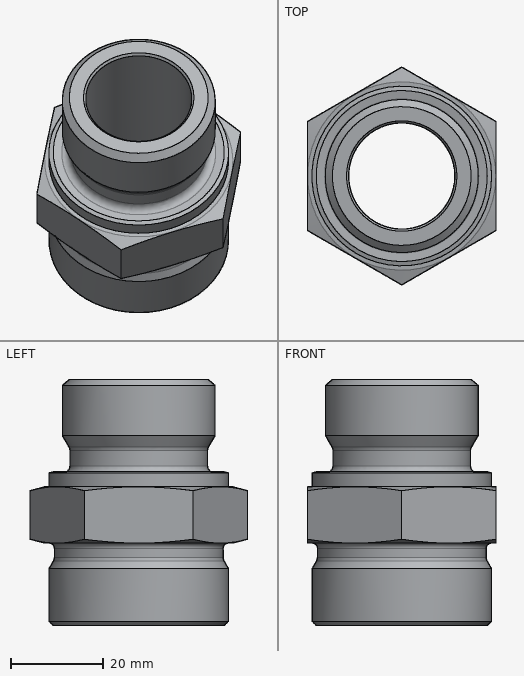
import cadquery as cq
import math

total_height = 53.5
bore_diameter = 23.0
bore_chamfer = 0.5

lower_diameter = 39.0
lower_end_chamfer = 0.95
lower_thread_top = 12.4
lower_groove_diameter = 36.7
lower_corner_fillet = 1.1

hex_bottom = 17.9
hex_top = 30.2
across_flats = 41.0
hex_chamfer_circle = 40.9
hex_chamfer_angle = 15.0
hex_corner_radius = across_flats / math.sqrt(3)

collar_diameter = lower_diameter
collar_top = 33.45
collar_rim_diameter = 37.15
collar_outer_slope = 15.0
collar_inner_slope = 8.0
collar_fillet = 1.55

upper_diameter = 33.2
upper_chamfer_width = 1.55
upper_chamfer_height = 1.35
upper_thread_bottom = 41.3
upper_groove_diameter = 29.9

groove_flank_angle = 30.0
groove_fillet = 1.5


def fillet_circle(body, radius, height, size):
    """Round the circular edge of the given radius that lies at the given height."""
    margin = 0.025
    edge = body.edges(
        cq.selectors.BoxSelector(
            (-radius, -radius, height - margin),
            (radius, radius, height + margin),
        )
    )
    return body.newObject([e for e in edge.vals() if abs(e.radius() - radius) < margin]).fillet(size)


def flank_height(outer_diameter, inner_diameter):
    """Axial length of a groove flank between two diameters."""
    return (outer_diameter - inner_diameter) / 2 / math.tan(math.radians(groove_flank_angle))


def make_lower_stud():
    radius = lower_diameter / 2
    groove_radius = lower_groove_diameter / 2
    flank_top = lower_thread_top + flank_height(lower_diameter, lower_groove_diameter)
    shoulder_radius = hex_chamfer_circle / 2
    body = (
        cq.Workplane("XZ")
        .moveTo(0, 0)
        .lineTo(radius - lower_end_chamfer, 0)
        .lineTo(radius, lower_end_chamfer)
        .lineTo(radius, lower_thread_top)
        .lineTo(groove_radius, flank_top)
        .lineTo(groove_radius, hex_bottom)
        .lineTo(shoulder_radius, hex_bottom)
        .lineTo(shoulder_radius, hex_top)
        .lineTo(0, hex_top)
        .close()
        .revolve(360, (0, 0, 0), (0, 1, 0))
    )
    body = fillet_circle(body, groove_radius, flank_top, groove_fillet)
    return fillet_circle(body, groove_radius, hex_bottom, lower_corner_fillet)


def make_upper_stud():
    radius = upper_diameter / 2
    groove_radius = upper_groove_diameter / 2
    flank_bottom = upper_thread_bottom - flank_height(upper_diameter, upper_groove_diameter)
    rim_radius = collar_rim_diameter / 2
    outer_slope = math.tan(math.radians(collar_outer_slope))
    inner_slope = math.tan(math.radians(collar_inner_slope))
    collar_edge = collar_top - (collar_diameter / 2 - rim_radius) * outer_slope
    dish_bottom = collar_top - (rim_radius - groove_radius) * inner_slope
    body = (
        cq.Workplane("XZ")
        .moveTo(0, hex_top)
        .lineTo(collar_diameter / 2, hex_top)
        .lineTo(collar_diameter / 2, collar_edge)
        .lineTo(rim_radius, collar_top)
        .lineTo(groove_radius, dish_bottom)
        .lineTo(groove_radius, flank_bottom)
        .lineTo(radius, upper_thread_bottom)
        .lineTo(radius, total_height - upper_chamfer_height)
        .lineTo(radius - upper_chamfer_width, total_height)
        .lineTo(0, total_height)
        .close()
        .revolve(360, (0, 0, 0), (0, 1, 0))
    )
    body = fillet_circle(body, groove_radius, flank_bottom, groove_fillet)
    return fillet_circle(body, groove_radius, dish_bottom, collar_fillet)


def make_hexagon():
    """Hexagonal prism whose corners are trimmed by a shallow cone at both ends."""
    prism = (
        cq.Workplane("XY")
        .workplane(offset=hex_bottom)
        .polygon(6, 2 * hex_corner_radius)
        .extrude(hex_top - hex_bottom)
        .rotate((0, 0, 0), (0, 0, 1), 30)
    )
    face_radius = hex_chamfer_circle / 2
    corner_drop = (hex_corner_radius - face_radius) * math.tan(math.radians(hex_chamfer_angle))
    envelope = (
        cq.Workplane("XZ")
        .moveTo(0, hex_bottom)
        .lineTo(face_radius, hex_bottom)
        .lineTo(hex_corner_radius, hex_bottom + corner_drop)
        .lineTo(hex_corner_radius, hex_top - corner_drop)
        .lineTo(face_radius, hex_top)
        .lineTo(0, hex_top)
        .close()
        .revolve(360, (0, 0, 0), (0, 1, 0))
    )
    return prism.intersect(envelope)


def make_bore():
    """Through bore with a small chamfer at the upper mouth."""
    radius = bore_diameter / 2
    return (
        cq.Workplane("XZ")
        .moveTo(0, 0)
        .lineTo(radius, 0)
        .lineTo(radius, total_height - bore_chamfer)
        .lineTo(radius + bore_chamfer, total_height)
        .lineTo(0, total_height)
        .close()
        .revolve(360, (0, 0, 0), (0, 1, 0))
    )


result = make_lower_stud().union(make_hexagon()).union(make_upper_stud()).cut(make_bore())